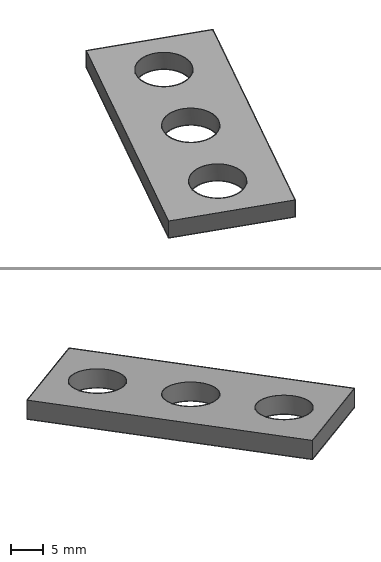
import cadquery as cq

length = 45.95
width = 20.1
thickness = 3.2

hole_diameter = 8.85
hole_count = 3
hole_pitch = 15.05

plate = cq.Workplane("XY").box(length, width, thickness)

result = (
    plate.faces(">Z")
    .workplane()
    .rarray(hole_pitch, 0.45, hole_count, 1)
    .hole(hole_diameter)
)